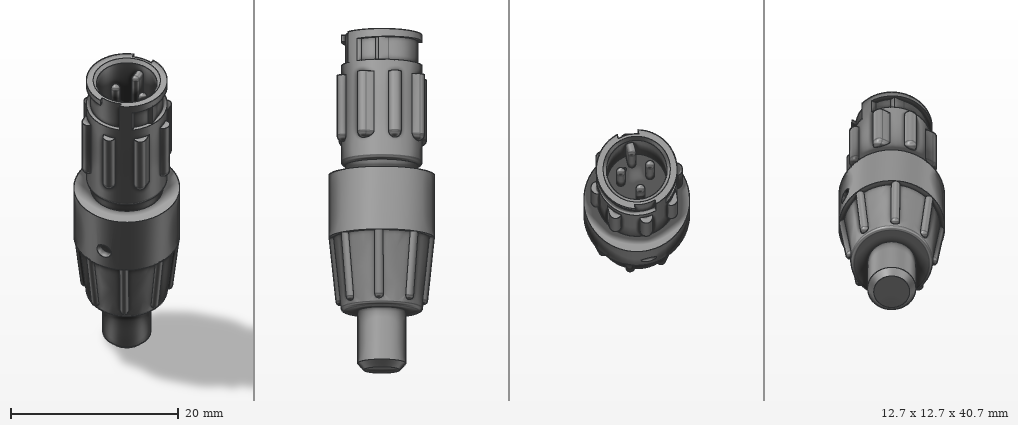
import cadquery as cq
import math

TOTAL_HEIGHT = 40.65
TAIL_CHAMFER_TOP = 0.8
GRIP_BOTTOM = 7.15
COLLAR_BOTTOM = 16.0
COLLAR_TOP = 23.6
SLEEVE_BOTTOM = 24.85
GROOVE_BOTTOM = 36.9

TAIL_RADIUS = 2.9
TAIL_END_RADIUS = 2.15
GRIP_BOTTOM_RADIUS = 4.85
GRIP_TOP_RADIUS = 5.77
GRIP_EDGE_ROUND = 0.4
COLLAR_RADIUS = 6.35
NECK_RADIUS = 4.35
SLEEVE_RADIUS = 4.85
SLEEVE_EDGE_ROUND = SLEEVE_RADIUS - NECK_RADIUS

SOCKET_RADIUS = 3.6
SOCKET_DEPTH = 8.13
SOCKET_CHAMFER = 0.4
PIN_RADIUS = 0.53
PIN_CIRCLE_RADIUS = 1.9
PIN_ANGLES = (20, 160, 270)
PIN_TIP_DEPTH = 1.95
KEY_RADIUS = 0.5
KEY_TIP_Y = 2.05
KEY_TOP_DEPTH = 1.3
MARK_RADIUS = 0.2
MARK_DEPTH = 0.2
MARK_X = -0.98
MARK_Y = 2.07

ENTRY_HALF_WIDTH = 1.25
STOP_FAR_X = 2.65
LIP_THIN = 0.77
LIP_THICK = 1.05
DETENT_FACE_X = 4.3
DETENT_START_Y = 0.4
DETENT_PEAK_Y = 1.85
DETENT_FOOT_X = 3.78
DETENT_FOOT_Y = 2.1

RIB_COUNT = 8
SLEEVE_RIB_RADIUS = 0.77
SLEEVE_RIB_TOP = 35.48
SLEEVE_RIB_DOME_CENTRE = 28.25
GRIP_RIB_RADIUS = 0.53
GRIP_RIB_OVERLAP = 0.15
GRIP_RIB_DOME_CENTRE = 8.4

COLLAR_HOLE_RADIUS = 0.95
COLLAR_HOLE_Z = 18.5
COLLAR_HOLE_DEPTH = 1.0

SOCKET_FLOOR = TOTAL_HEIGHT - SOCKET_DEPTH
CUT_MARGIN = 0.4


def cylinder(radius, bottom, top, x=0.0, y=0.0):
    return cq.Workplane("XY", origin=(x, y, bottom)).circle(radius).extrude(top - bottom)


def box(x_range, y_range, z_range):
    size = [high - low for low, high in (x_range, y_range, z_range)]
    corner = (x_range[0], y_range[0], z_range[0])
    return cq.Workplane("XY", origin=corner).box(*size, centered=False)


def sphere(radius, x, y, z):
    return cq.Workplane("XY", origin=(x, y, z)).sphere(radius)


def turned_body():
    """Solid of revolution from the cable tail up to the mouth."""
    arc_drop = SLEEVE_EDGE_ROUND * math.sqrt(0.5)
    arc_centre_z = SLEEVE_BOTTOM + SLEEVE_EDGE_ROUND
    profile = (
        cq.Workplane("XZ")
        .moveTo(0, 0)
        .lineTo(TAIL_END_RADIUS, 0)
        .lineTo(TAIL_RADIUS, TAIL_CHAMFER_TOP)
        .lineTo(TAIL_RADIUS, GRIP_BOTTOM)
        .lineTo(GRIP_BOTTOM_RADIUS, GRIP_BOTTOM)
        .lineTo(GRIP_TOP_RADIUS, COLLAR_BOTTOM)
        .lineTo(COLLAR_RADIUS, COLLAR_BOTTOM)
        .lineTo(COLLAR_RADIUS, COLLAR_TOP)
        .lineTo(NECK_RADIUS, COLLAR_TOP)
        .lineTo(NECK_RADIUS, SLEEVE_BOTTOM)
        .threePointArc(
            (NECK_RADIUS + arc_drop, arc_centre_z - arc_drop),
            (SLEEVE_RADIUS, arc_centre_z),
        )
        .lineTo(SLEEVE_RADIUS, TOTAL_HEIGHT)
        .lineTo(0, TOTAL_HEIGHT)
        .close()
    )
    body = profile.revolve(360, (0, 0, 0), (0, 1, 0))
    grip_edge = cq.selectors.BoxSelector(
        (-COLLAR_RADIUS, -COLLAR_RADIUS, GRIP_BOTTOM - GRIP_EDGE_ROUND),
        (COLLAR_RADIUS, COLLAR_RADIUS, GRIP_BOTTOM + GRIP_EDGE_ROUND),
        boundingbox=True,
    )
    return body.edges(grip_edge).edges(cq.selectors.RadiusNthSelector(-1)).fillet(GRIP_EDGE_ROUND)


def sleeve_rib(angle):
    """Half-round rib with a domed lower end. Diagonal ribs are filled straight down toward Y = 0."""
    rib = cylinder(SLEEVE_RIB_RADIUS, SLEEVE_RIB_DOME_CENTRE, SLEEVE_RIB_TOP, SLEEVE_RADIUS)
    rib = rib.union(sphere(SLEEVE_RIB_RADIUS, SLEEVE_RADIUS, 0, SLEEVE_RIB_DOME_CENTRE))
    rib = rib.rotate((0, 0, 0), (0, 0, 1), angle)
    if angle % 90:
        x = SLEEVE_RADIUS * math.cos(math.radians(angle))
        y = SLEEVE_RADIUS * math.sin(math.radians(angle))
        fill_y = sorted((y, y / 2))
        fill = box(
            (x - SLEEVE_RIB_RADIUS, x + SLEEVE_RIB_RADIUS),
            fill_y,
            (SLEEVE_RIB_DOME_CENTRE, SLEEVE_RIB_TOP),
        )
        fill_end = (
            cq.Workplane("XZ", origin=(x, fill_y[1], SLEEVE_RIB_DOME_CENTRE))
            .circle(SLEEVE_RIB_RADIUS)
            .extrude(fill_y[1] - fill_y[0])
        )
        rib = rib.union(fill).union(fill_end)
    return rib


def grip_rib(angle):
    """Round rib that follows the cone of the grip, with a ball end."""
    slope = (GRIP_TOP_RADIUS - GRIP_BOTTOM_RADIUS) / (COLLAR_BOTTOM - GRIP_BOTTOM)
    grip_radius = GRIP_BOTTOM_RADIUS + slope * (GRIP_RIB_DOME_CENTRE - GRIP_BOTTOM)
    end = cq.Vector(grip_radius, 0, GRIP_RIB_DOME_CENTRE)
    rise = COLLAR_BOTTOM + GRIP_RIB_OVERLAP - GRIP_RIB_DOME_CENTRE
    axis = cq.Vector(slope * rise, 0, rise)
    rod = cq.Workplane(cq.Solid.makeCylinder(GRIP_RIB_RADIUS, axis.Length, end, axis))
    rib = rod.union(sphere(GRIP_RIB_RADIUS, *end.toTuple()))
    return rib.rotate((0, 0, 0), (0, 0, 1), angle)


def bayonet_cut():
    """One track on the -X side: an entry slot at -Y, a ramped groove and a detent before the stop."""
    reach = SLEEVE_RADIUS + CUT_MARGIN
    ring = cylinder(reach, GROOVE_BOTTOM, TOTAL_HEIGHT).cut(
        cylinder(NECK_RADIUS, GROOVE_BOTTOM, TOTAL_HEIGHT)
    )
    under_lip = (
        cq.Workplane("YZ")
        .polyline(
            [
                (-SLEEVE_RADIUS, GROOVE_BOTTOM),
                (SLEEVE_RADIUS, GROOVE_BOTTOM),
                (SLEEVE_RADIUS, TOTAL_HEIGHT - LIP_THICK),
                (-SLEEVE_RADIUS, TOTAL_HEIGHT - LIP_THIN),
            ]
        )
        .close()
        .extrude(-reach)
    )
    heights = (GROOVE_BOTTOM, TOTAL_HEIGHT)
    under_lip = under_lip.cut(box((-STOP_FAR_X, 0), (0, reach), heights))
    entry = box((-ENTRY_HALF_WIDTH, ENTRY_HALF_WIDTH), (-reach, 0), heights)
    detent = (
        cq.Workplane("XY", origin=(0, 0, GROOVE_BOTTOM))
        .moveTo(0, DETENT_START_Y)
        .lineTo(-DETENT_FACE_X, DETENT_START_Y)
        .lineTo(-DETENT_FACE_X, DETENT_PEAK_Y)
        .lineTo(-DETENT_FOOT_X, DETENT_FOOT_Y)
        .lineTo(0, DETENT_FOOT_Y)
        .close()
        .extrude(TOTAL_HEIGHT - GROOVE_BOTTOM)
    )
    return ring.intersect(under_lip.union(entry)).cut(detent)


def socket_cut():
    socket = cylinder(SOCKET_RADIUS, SOCKET_FLOOR, TOTAL_HEIGHT)
    mouth = cq.Workplane(
        cq.Solid.makeCone(
            SOCKET_RADIUS,
            SOCKET_RADIUS + SOCKET_CHAMFER,
            SOCKET_CHAMFER,
            cq.Vector(0, 0, TOTAL_HEIGHT - SOCKET_CHAMFER),
        )
    )
    mark = cylinder(MARK_RADIUS, SOCKET_FLOOR - MARK_DEPTH, SOCKET_FLOOR, MARK_X, MARK_Y)
    return socket.union(mouth).union(mark)


def contact_pin(angle):
    x = PIN_CIRCLE_RADIUS * math.cos(math.radians(angle))
    y = PIN_CIRCLE_RADIUS * math.sin(math.radians(angle))
    dome_centre = TOTAL_HEIGHT - PIN_TIP_DEPTH - PIN_RADIUS
    pin = cylinder(PIN_RADIUS, SOCKET_FLOOR - CUT_MARGIN, dome_centre, x, y)
    return pin.union(sphere(PIN_RADIUS, x, y, dome_centre))


def key():
    """Polarising rib on the +Y wall of the socket, rounded along its top and its inner end."""
    end_y = KEY_TIP_Y + KEY_RADIUS
    wall_y = (SOCKET_RADIUS + NECK_RADIUS) / 2
    axis_z = TOTAL_HEIGHT - KEY_TOP_DEPTH - KEY_RADIUS
    web = box((-KEY_RADIUS, KEY_RADIUS), (end_y, wall_y), (SOCKET_FLOOR, axis_z))
    crest = cq.Workplane("XZ", origin=(0, wall_y, axis_z)).circle(KEY_RADIUS).extrude(wall_y - end_y)
    nose = cylinder(KEY_RADIUS, SOCKET_FLOOR, axis_z, 0, end_y)
    tip = sphere(KEY_RADIUS, 0, end_y, axis_z)
    return web.union(crest).union(nose).union(tip)


def collar_hole():
    return (
        cq.Workplane("XZ", origin=(0, -COLLAR_RADIUS + COLLAR_HOLE_DEPTH, COLLAR_HOLE_Z))
        .circle(COLLAR_HOLE_RADIUS)
        .extrude(COLLAR_HOLE_DEPTH + CUT_MARGIN)
    )


result = turned_body()

rib_pitch = 360 / RIB_COUNT
for index in range(RIB_COUNT):
    result = result.union(sleeve_rib(index * rib_pitch))
    result = result.union(grip_rib((index + 0.5) * rib_pitch))

track = bayonet_cut()
for turn in (0, 180):
    result = result.cut(track.rotate((0, 0, 0), (0, 0, 1), turn))

result = result.cut(socket_cut()).cut(collar_hole())

for pin_angle in PIN_ANGLES:
    result = result.union(contact_pin(pin_angle))
result = result.union(key())